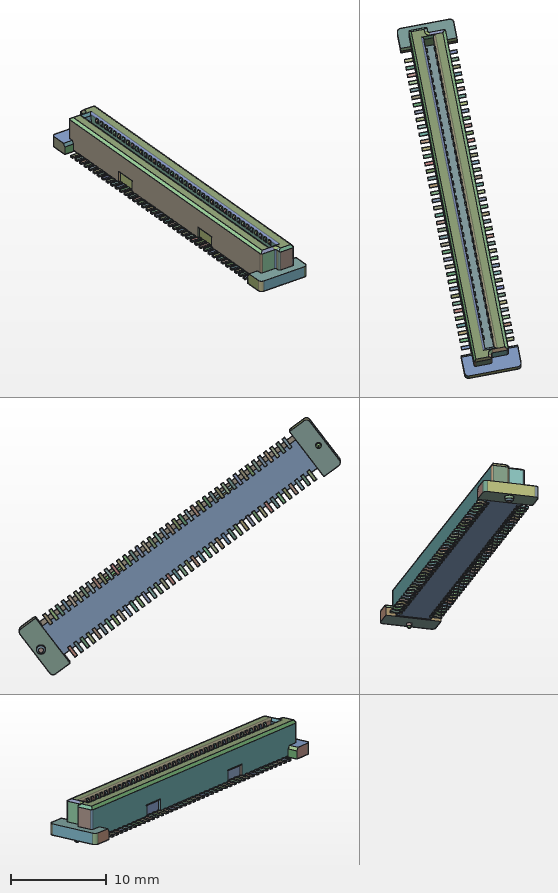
import cadquery as cq
length = 37.8
tab_depth = 6.0
top_z = 3.75

edge_bevel_width = 0.23
edge_bevel_height = 0.35

tab_length = 2.35
tab_height = 1.25
tab_corner_radius = 0.4

housing_depth = 3.78
housing_bottom_z = 0.1
long_half_length = 18.03
short_half_length = 17.43
step_y = -0.05
housing_corner_radius = 0.2
step_fillet_radius = 0.15

pocket_mouth_length = 34.05
pocket_length = pocket_mouth_length - 2 * edge_bevel_width
pocket_floor_length = 33.05
pocket_width = 1.02
pocket_lip_radius = 0.23
pocket_floor_z = tab_height

contacts_per_row = 40
row_length = 31.22
contact_pitch = row_length / (contacts_per_row - 1)
contact_width = 0.35
tail_tip_y = 2.8
tail_thickness = 0.2
tail_embedding = 0.38
tail_root_y = housing_depth / 2 - tail_embedding
spring_bulge = 0.15
spring_bottom_z = 3.02
spring_top_z = 3.6
spring_root = 0.1

recess_spacing = 14.35
recess_width = 2.42
recess_depth = 0.23
recess_inner_top_z = 1.2
recess_outer_top_z = 1.45

peg_x = 18.1
peg_height = 0.5
peg_shoulder_depth = 0.3
peg_shoulder_inset = 0.05
peg_root = 0.2
large_peg_radius = 0.5
small_peg_radius = 0.3
large_peg_tip_radius = 0.25
small_peg_tip_radius = 0.08


def make_housing():
    """Stepped bar with rounded vertical corners and a bevelled top rim, mirrored from its -X half."""
    half_depth = housing_depth / 2
    outline = [
        (0, half_depth),
        (0, -half_depth),
        (-short_half_length, -half_depth),
        (-short_half_length, step_y),
        (-long_half_length, step_y),
        (-long_half_length, half_depth),
    ]
    half = (
        cq.Workplane("XY")
        .workplane(offset=housing_bottom_z)
        .polyline(outline)
        .close()
        .extrude(top_z - housing_bottom_z)
    )
    inner_corner = cq.selectors.NearestToPointSelector((-short_half_length, step_y, top_z / 2))
    half = half.edges("|Z").edges(inner_corner).fillet(step_fillet_radius)
    half = half.faces(">Z").edges("not >X").chamfer(edge_bevel_width, edge_bevel_height)
    for corner in [
        (-short_half_length, -half_depth),
        (-long_half_length, step_y),
        (-long_half_length, half_depth),
    ]:
        outer_corner = cq.selectors.NearestToPointSelector((*corner, top_z / 2))
        half = half.edges("|Z").edges(outer_corner).fillet(housing_corner_radius)
    return half.union(half.mirror("YZ")).clean()


def make_tabs():
    """Two end tabs, rounded at the outer corners and bevelled along the inner top edge."""
    left_tab = (
        cq.Workplane("XY")
        .box(tab_length, tab_depth, tab_height, centered=(False, True, False))
        .translate((-length / 2, 0, 0))
        .edges("|Z and <X")
        .fillet(tab_corner_radius)
        .edges(">X and >Z")
        .chamfer(edge_bevel_width, edge_bevel_height)
    )
    return left_tab.union(left_tab.mirror("YZ"))


def make_peg(x, radius, tip_radius):
    """Locating peg: slightly tapered to a shoulder, then a blunt cone; its root sits in the tab."""
    profile = [
        (0, peg_root),
        (radius, peg_root),
        (radius, 0),
        (radius - peg_shoulder_inset, -peg_shoulder_depth),
        (tip_radius, -peg_height),
        (0, -peg_height),
    ]
    peg = cq.Workplane("XZ").polyline(profile).close().revolve(360, (0, 0, 0), (0, 1, 0))
    return peg.translate((x, 0, 0))


def make_pocket():
    """Cavity to cut from the top: its lengthwise section crossed with its crosswise section."""
    bevel_bottom_z = top_z - edge_bevel_height
    lengthwise = [
        (-pocket_mouth_length / 2, top_z),
        (pocket_mouth_length / 2, top_z),
        (pocket_length / 2, bevel_bottom_z),
        (pocket_floor_length / 2, pocket_floor_z),
        (-pocket_floor_length / 2, pocket_floor_z),
        (-pocket_length / 2, bevel_bottom_z),
    ]
    long_section = cq.Workplane("XZ").polyline(lengthwise).close().extrude(housing_depth / 2, both=True)
    wall_y = pocket_width / 2
    mouth_y = wall_y + pocket_lip_radius
    lip_bottom_z = top_z - pocket_lip_radius
    cross_section = (
        cq.Workplane("YZ")
        .moveTo(-wall_y, pocket_floor_z)
        .lineTo(wall_y, pocket_floor_z)
        .lineTo(wall_y, lip_bottom_z)
        .radiusArc((mouth_y, top_z), pocket_lip_radius)
        .lineTo(-mouth_y, top_z)
        .radiusArc((-wall_y, lip_bottom_z), pocket_lip_radius)
        .close()
        .extrude(length / 2, both=True)
    )
    return long_section.intersect(cross_section)


def make_recesses():
    """Cutters for the recesses low on both long sides; each ceiling slopes down inwards."""
    side_y = housing_depth / 2
    profile = [
        (side_y, housing_bottom_z),
        (side_y, recess_outer_top_z),
        (side_y - recess_depth, recess_inner_top_z),
        (side_y - recess_depth, housing_bottom_z),
    ]
    cutter = cq.Workplane("YZ").polyline(profile).close().extrude(recess_width / 2, both=True)
    left_cutter = cutter.translate((-recess_spacing / 2, 0, 0))
    right_cutter = cutter.translate((recess_spacing / 2, 0, 0))
    pair = left_cutter.union(right_cutter)
    return pair.union(pair.mirror("XZ"))


def make_contact_pair():
    """One +Y and one -Y contact at X = 0, each a flat solder tail and a bulged spring."""
    wall_y = pocket_width / 2
    middle_z = (spring_top_z + spring_bottom_z) / 2
    tail = (
        cq.Workplane("XY")
        .box(contact_width, tail_tip_y - tail_root_y, tail_thickness, centered=(True, False, False))
        .translate((0, tail_root_y, 0))
    )
    spring = (
        cq.Workplane("YZ")
        .moveTo(wall_y + spring_root, spring_bottom_z)
        .lineTo(wall_y, spring_bottom_z)
        .threePointArc((wall_y - spring_bulge, middle_z), (wall_y, spring_top_z))
        .lineTo(wall_y + spring_root, spring_top_z)
        .close()
        .extrude(contact_width / 2, both=True)
    )
    contact = tail.add(spring)
    return contact.vals() + [shape.mirror("XZ") for shape in contact.vals()]


def make_contacts():
    """Both rows of contacts, centred on the housing."""
    pair = make_contact_pair()
    shapes = []
    for index in range(contacts_per_row):
        x = index * contact_pitch - row_length / 2
        shapes += [shape.translate(cq.Vector(x, 0, 0)) for shape in pair]
    return cq.Workplane(cq.Compound.makeCompound(shapes))


result = (
    make_housing()
    .union(make_tabs())
    .union(make_peg(-peg_x, large_peg_radius, large_peg_tip_radius))
    .union(make_peg(peg_x, small_peg_radius, small_peg_tip_radius))
    .cut(make_pocket())
    .cut(make_recesses())
    .union(make_contacts())
)